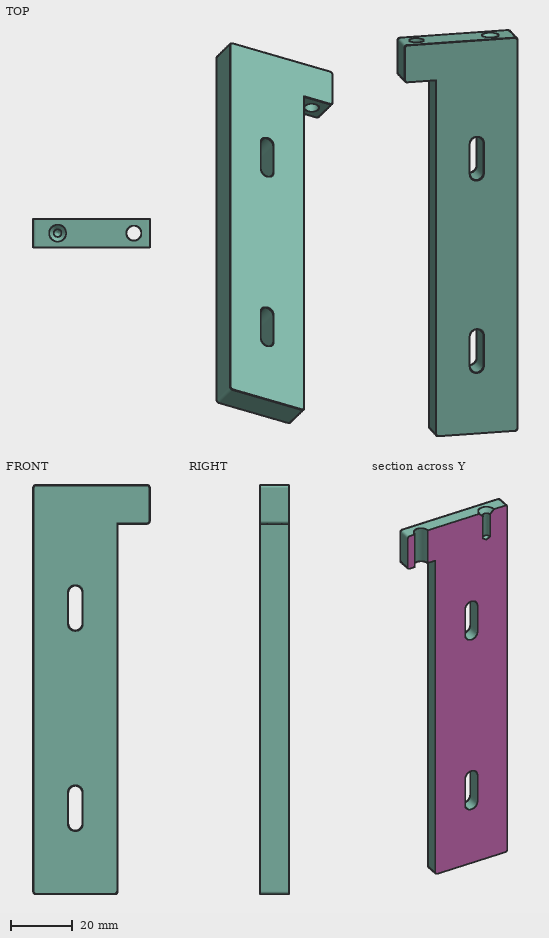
import cadquery as cq
import math

overall_width = 38.0
thickness = 9.5
height = 133.0

column_width = 27.5
arm_height = 12.7
corner_radius = 1.0

edge_bevel = 0.2

slot_width = 4.5
slot_length = 14.5
slot_spacing = 65.0
upper_slot_drop = 40.0

arm_hole_diameter = 4.8

pilot_diameter = 2.5
pilot_depth = 10.0
drill_tip_angle = 118.0
countersink_diameter = 5.5
countersink_angle = 90.0
pilot_inset = 8.0

left = -overall_width / 2
right = overall_width / 2
bottom = -height / 2
top = height / 2
column_right = left + column_width
arm_bottom = top - arm_height


def make_body():
    """L-shaped plate with every outer corner rounded and a sharp inner corner."""
    outline = [
        (left, bottom),
        (column_right, bottom),
        (column_right, arm_bottom),
        (right, arm_bottom),
        (right, top),
        (left, top),
    ]
    plate = cq.Workplane("XZ").polyline(outline).close().extrude(thickness / 2, both=True)
    inner_corner = cq.selectors.NearestToPointSelector((column_right, 0, arm_bottom))
    outer_corners = cq.selectors.ParallelDirSelector(cq.Vector(0, 1, 0)) - inner_corner
    return plate.edges(outer_corners).fillet(corner_radius)


def make_slots():
    """Two upright slots on the centre line of the column."""
    slot_x = left + column_width / 2
    upper_z = top - upper_slot_drop
    centres = [(slot_x, upper_z), (slot_x, upper_z - slot_spacing)]
    profile = cq.Workplane("XZ").pushPoints(centres).slot2D(slot_length, slot_width, 90)
    return profile.extrude(thickness, both=True)


def make_arm_hole():
    """Plain hole down through the arm, midway along its overhang."""
    hole_x = (column_right + right) / 2
    hole = cq.Workplane("XY", origin=(hole_x, 0, arm_bottom))
    return hole.circle(arm_hole_diameter / 2).extrude(arm_height)


def make_countersunk_hole():
    """Blind hole with a conical mouth and a drill-point bottom."""
    mouth_radius = countersink_diameter / 2
    pilot_radius = pilot_diameter / 2
    mouth_depth = (mouth_radius - pilot_radius) / math.tan(math.radians(countersink_angle / 2))
    tip_depth = pilot_radius / math.tan(math.radians(drill_tip_angle / 2))
    half_section = [
        (0, 0),
        (mouth_radius, 0),
        (pilot_radius, -mouth_depth),
        (pilot_radius, -pilot_depth),
        (0, -pilot_depth - tip_depth),
    ]
    section = cq.Workplane("XZ", origin=(left + pilot_inset, 0, top)).polyline(half_section).close()
    return section.revolve(360, (0, 0, 0), (0, 1, 0))


slotted_body = make_body().cut(make_slots())
bevelled_body = slotted_body.faces("<Y or >Y").edges().chamfer(edge_bevel)
result = bevelled_body.cut(make_arm_hole()).cut(make_countersunk_hole())